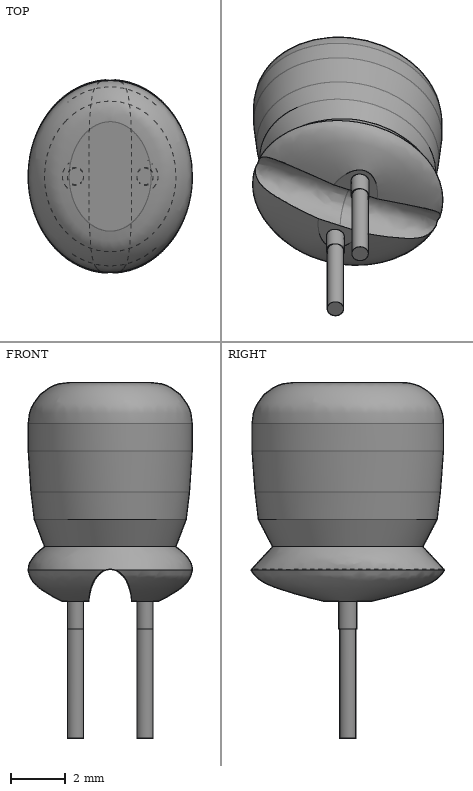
import cadquery as cq

flange_rim_z = 1.15
neck_z = 2.0
shoulder_z = 3.0
belly_z = 4.0
barrel_z = 5.5
top_z = 8.0

flange_base = (1.75, 0.95)
flange_rim = (3.005, 3.54)
neck = (2.4, 2.75)
shoulder = (2.78, 3.27)
belly = (2.9, 3.39)
barrel = (3.0, 3.5)

crown_radius = 1.5

loft_steps = 5

notch_half_width = 0.78
notch_height = 1.18

lead_pitch = 2.54
lead_radius = 0.3
lead_bottom_z = -5.0
collar_bottom_z = -1.0
collar_half_widths = (0.3, 0.33)
lead_inner_end_z = neck_z


def ellipse_wire(half_widths, z):
    """Elliptical outline centred on the Z axis at height z, always starting at its +X point."""
    half_x, half_y = half_widths
    center = cq.Vector(0, 0, z)
    up = cq.Vector(0, 0, 1)
    start = cq.Vector(1, 0, 0)
    edge = cq.Edge.makeEllipse(half_x, half_y, center, up, start, 0, 360)
    return cq.Wire.assembleEdges([edge])


def cone_band(lower, lower_z, upper, upper_z):
    """Straight-sided band between two elliptical sections."""
    wires = [ellipse_wire(lower, lower_z), ellipse_wire(upper, upper_z)]
    return cq.Workplane(cq.Solid.makeLoft(wires, True))


def blend(start, end, fraction):
    return start + (end - start) * fraction


def parabola(fraction):
    """Rise from 0 to 1 that levels off at 1."""
    return 1 - (1 - fraction) ** 2


def underside_section(height):
    """Section of the bulging underside; height runs from 0 at the base to 1 at the rim."""
    half_x = blend(flange_base[0], flange_rim[0], parabola(height))
    half_y = blend(flange_base[1], flange_rim[1], parabola(height))
    return ellipse_wire((half_x, half_y), height * flange_rim_z)


def upper_section(height):
    """Section above the rim, rounded along X and straight along Y; height is 0 at the rim, 1 at the neck."""
    half_x = blend(neck[0], flange_rim[0], parabola(1 - height))
    half_y = blend(flange_rim[1], neck[1], height)
    return ellipse_wire((half_x, half_y), blend(flange_rim_z, neck_z, height))


def flange():
    """Two smooth lofts that meet at the rim; the lower sections crowd toward the flat base."""
    lower_wires = [underside_section((step / loft_steps) ** 2) for step in range(loft_steps + 1)]
    upper_wires = [upper_section(step / loft_steps) for step in range(loft_steps + 1)]
    lower = cq.Workplane(cq.Solid.makeLoft(lower_wires))
    return lower.union(cq.Workplane(cq.Solid.makeLoft(upper_wires)))


def crown():
    """Straight elliptical barrel with a rounded top edge."""
    blank = cq.Workplane("XY", origin=(0, 0, barrel_z)).ellipse(*barrel).extrude(top_z - barrel_z)
    return blank.faces(">Z").edges().fillet(crown_radius)


def notch():
    """Half-elliptical arch along Y, open at the flange underside."""
    length = 2 * flange_rim[1]
    return cq.Workplane("XZ").ellipse(notch_half_width, notch_height).extrude(length, both=True)


def lead(x):
    """Round lead with a slightly wider collar that runs up into the body."""
    pin = cq.Workplane("XY", origin=(x, 0, lead_bottom_z)).circle(lead_radius)
    pin = pin.extrude(collar_bottom_z - lead_bottom_z)
    collar = cq.Workplane("XY", origin=(x, 0, collar_bottom_z)).ellipse(*collar_half_widths)
    return pin.union(collar.extrude(lead_inner_end_z - collar_bottom_z))


body = flange().cut(notch())
body = body.union(cone_band(neck, neck_z, shoulder, shoulder_z))
body = body.union(cone_band(shoulder, shoulder_z, belly, belly_z))
body = body.union(cone_band(belly, belly_z, barrel, barrel_z))
body = body.union(crown())
for side in (-1, 1):
    body = body.union(lead(side * lead_pitch / 2))

result = body